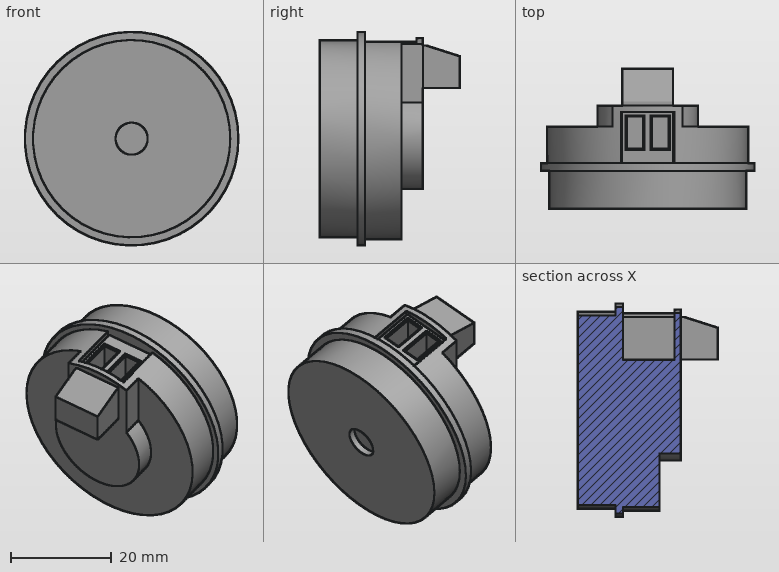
import cadquery as cq

front_diameter = 39.17
flange_diameter = 42.45
body_diameter = 40.0
neck_diameter = 20.05
flange_front = 7.5
flange_back = 9.05
body_back = 16.3
neck_back = 20.5

front_hole_diameter = 6.35
front_hole_depth = 1.5

neck_block_width = 13.88

connector_width = 10.1
connector_bottom = 10.0
connector_height = 8.5
connector_top = connector_bottom + connector_height
connector_back = 27.85
slope_start = 21.2
slope_drop = 2.12

side_gap = 0.275
slot_width = connector_width + 2 * side_gap
slot_back = 19.23

socket_width = 3.23
socket_length = 6.32
socket_front = 11.95
socket_spacing = 5.0
socket_depth = 6.35
socket_chamfer = 0.275


def disc(diameter, start, end):
    """Cylinder on the Y axis between two depths."""
    return cq.Workplane("XZ", origin=(0, start, 0)).circle(diameter / 2).extrude(start - end)


def box(width, start, end, bottom, top, center_x=0):
    """Box of the given X width, between two depths and two heights."""
    size = (width, end - start, top - bottom)
    return cq.Workplane("XY", origin=(center_x, start, bottom)).box(*size, centered=(True, False, False))


def make_housing():
    housing = disc(front_diameter, 0, flange_front)
    housing = housing.union(disc(flange_diameter, flange_front, flange_back))
    housing = housing.union(disc(body_diameter, flange_back, body_back))
    housing = housing.union(disc(neck_diameter, body_back, neck_back))
    neck_block = box(neck_block_width, body_back, neck_back, 0, body_diameter / 2)
    housing = housing.union(neck_block.intersect(disc(body_diameter, body_back, neck_back)))
    slot = box(slot_width, flange_back, slot_back, connector_bottom, flange_diameter / 2)
    return housing.cut(slot).cut(disc(front_hole_diameter, 0, front_hole_depth))


def make_socket(center_x):
    """Cutting shape for one socket: a straight pocket with a chamfered mouth."""
    socket_back = socket_front + socket_length
    pocket = box(
        socket_width, socket_front, socket_back, connector_top - socket_depth, connector_top, center_x
    )
    mouth_center = (center_x, (socket_front + socket_back) / 2, connector_top)
    mouth = (
        cq.Workplane("XY", origin=mouth_center)
        .rect(socket_width + 2 * socket_chamfer, socket_length + 2 * socket_chamfer)
        .workplane(offset=-socket_chamfer)
        .rect(socket_width, socket_length)
        .loft(combine=True)
    )
    return pocket.union(mouth)


def make_connector():
    side_profile = [
        (flange_back, connector_bottom),
        (connector_back, connector_bottom),
        (connector_back, connector_top - slope_drop),
        (slope_start, connector_top),
        (flange_back, connector_top),
    ]
    connector = cq.Workplane("YZ").polyline(side_profile).close().extrude(connector_width / 2, both=True)
    for side in (-1, 1):
        connector = connector.cut(make_socket(side * socket_spacing / 2))
    return connector


result = make_housing().union(make_connector())